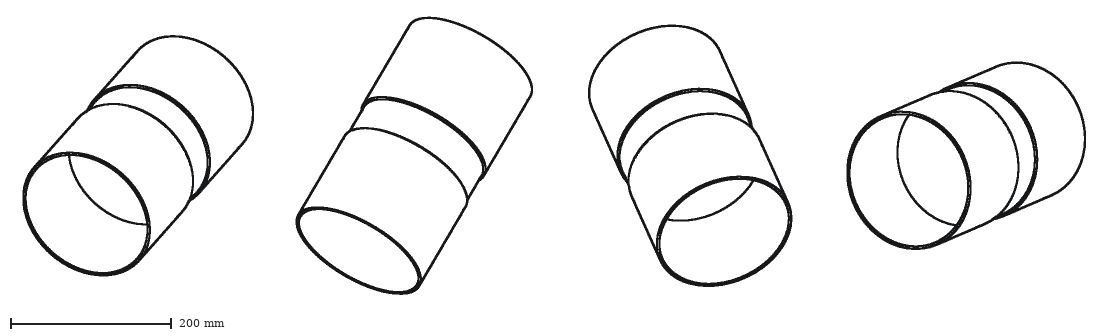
import cadquery as cq

length = 300.0
outer_radius = 175.0 / 2
bore_radius = 168.3 / 2

band_radius = 170.0 / 2
band_floor_width = 45.5
shoulder_width = 1.8

half_length = length / 2
half_floor = band_floor_width / 2
half_band = half_floor + shoulder_width

half_core = half_band


def make_body():
    """Revolve the outer outline into a solid body with the recessed band."""
    return (
        cq.Workplane("XY")
        .moveTo(0, -half_length)
        .lineTo(outer_radius, -half_length)
        .lineTo(outer_radius, -half_band)
        .lineTo(band_radius, -half_floor)
        .lineTo(band_radius, half_floor)
        .lineTo(outer_radius, half_band)
        .lineTo(outer_radius, half_length)
        .lineTo(0, half_length)
        .close()
        .revolve(360, (0, 0, 0), (0, 1, 0))
    )


def make_bore(direction):
    """Bore running from the solid core to the end of the tube on one side."""
    start = cq.Vector(0, direction * half_core, 0)
    depth = half_length - half_core
    return cq.Solid.makeCylinder(bore_radius, depth, start, cq.Vector(0, direction, 0))


result = make_body()
for side in (-1, 1):
    result = result.cut(cq.Workplane(obj=make_bore(side)))